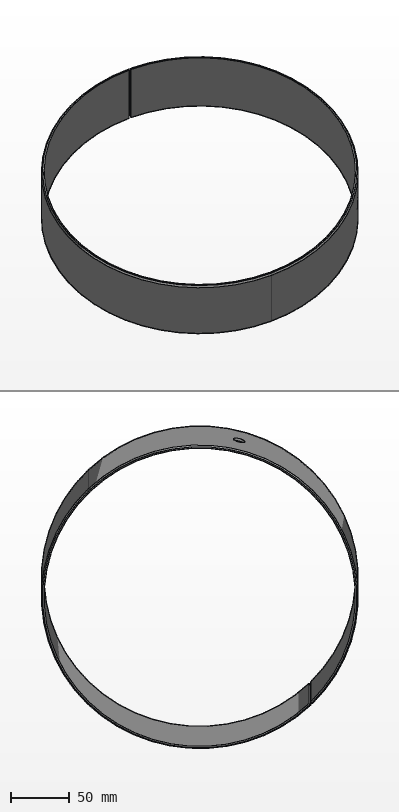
import cadquery as cq
outer_diameter = 270.0
height = 60.0
wall = 2.5
gap_width = 2.0
hole_diameter = 10.0
hole_angle = 59.0
bevel_height = 1.5
bevel_depth = 1.0

outer_radius = outer_diameter / 2
inner_radius = outer_radius - wall


def make_band():
    """Thin ring centred on the origin, with steep bevels on its outer rims."""
    rim_outer = outer_radius - bevel_depth
    half_height = height / 2
    bevel_start = half_height - bevel_height
    profile = [
        (inner_radius, -half_height),
        (rim_outer, -half_height),
        (outer_radius, -bevel_start),
        (outer_radius, bevel_start),
        (rim_outer, half_height),
        (inner_radius, half_height),
    ]
    return cq.Workplane("XZ").polyline(profile).close().revolve(360, (0, 0), (0, 1))


def make_gap():
    """Slit through the -X side of the band, with one flank on the XZ plane."""
    slit = cq.Workplane("XY").box(2 * wall, gap_width, height)
    return slit.translate((wall / 2 - outer_radius, gap_width / 2, 0))


def make_hole():
    """Radial hole through one wall at mid height."""
    drill = cq.Workplane("YZ").circle(hole_diameter / 2).extrude(outer_diameter)
    return drill.rotate((0, 0, 0), (0, 0, 1), hole_angle)


result = make_band().cut(make_gap()).cut(make_hole())